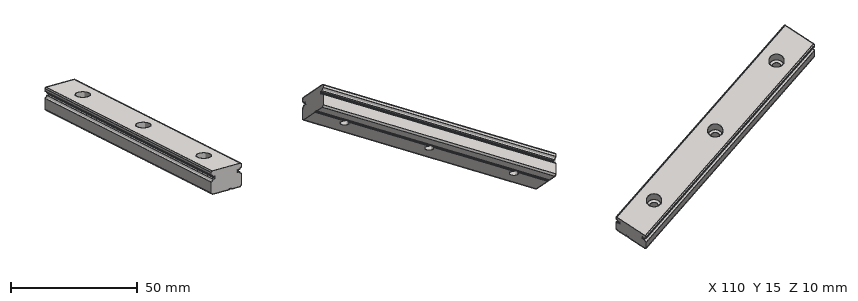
import cadquery as cq

LENGTH = 110.0
WIDTH = 15.0
HEIGHT = 10.0
TOP_CHAMFER = 0.5
BOTTOM_CHAMFER = 0.75

GROOVE_HEIGHT = 6.9
GROOVE_RADIUS = 1.6
GROOVE_CENTRE_OUTSIDE = 0.55
RELIEF_WIDTH = 1.0
RELIEF_DEPTH = 2.0

MARK_OFFSET = 2.0
MARK_WIDTH = 1.0
MARK_DEPTH = 0.3

HOLE_COUNT = 3
HOLE_PITCH = 40.0
HOLE_DIAMETER = 3.5
COUNTERBORE_DIAMETER = 6.0
COUNTERBORE_DEPTH = 4.5


def along_rail(profile):
    """Extrude a YZ profile over the full length, centred on X = 0."""
    return profile.extrude(LENGTH / 2, both=True)


def rail_blank():
    """Rectangular bar with its long top and bottom edges chamfered."""
    bar = cq.Workplane("XY").box(LENGTH, WIDTH, HEIGHT, centered=(True, True, False))
    bar = bar.faces(">Z").edges("|X").chamfer(TOP_CHAMFER)
    return bar.faces("<Z").edges("|X").chamfer(BOTTOM_CHAMFER)


def ball_groove(side):
    """Groove cutter for one side; side is +1 for +Y and -1 for -Y."""
    circle_y = side * (WIDTH / 2 + GROOVE_CENTRE_OUTSIDE)
    relief_y = side * (WIDTH / 2 - RELIEF_DEPTH / 2)
    ball_path = along_rail(cq.Workplane("YZ").center(circle_y, GROOVE_HEIGHT).circle(GROOVE_RADIUS))
    relief = along_rail(cq.Workplane("YZ").center(relief_y, GROOVE_HEIGHT).rect(RELIEF_DEPTH, RELIEF_WIDTH))
    return ball_path.union(relief)


def reference_mark():
    """Rectangular groove cutter on the underside, offset towards +Y."""
    return along_rail(cq.Workplane("YZ").center(MARK_OFFSET, 0).rect(MARK_WIDTH, 2 * MARK_DEPTH))


def drill_mounting_holes(body):
    """Evenly spaced holes on the centreline, counterbored from the top."""
    return (
        body.faces(">Z")
        .workplane(origin=(0, 0, HEIGHT))
        .rarray(HOLE_PITCH, 1, HOLE_COUNT, 1)
        .cboreHole(HOLE_DIAMETER, COUNTERBORE_DIAMETER, COUNTERBORE_DEPTH)
    )


rail = rail_blank()
for side in (1, -1):
    rail = rail.cut(ball_groove(side))
rail = rail.cut(reference_mark())
result = drill_mounting_holes(rail)